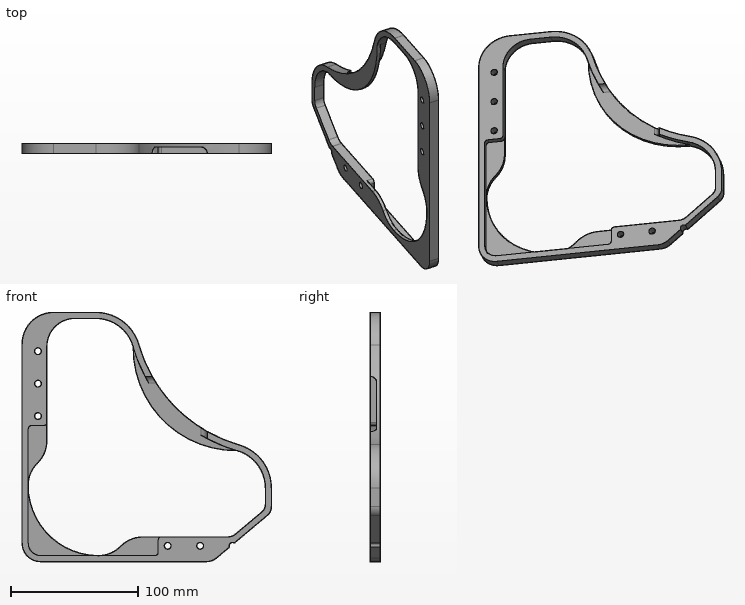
import cadquery as cq
import math

SIZE = 195.8
THICKNESS = 8.0
WEB = 3.0
RECESS = THICKNESS - WEB
WALL = 4.9
FLANGE = 19.5

TOP_LEFT_RADIUS = 24.9
BOTTOM_LEFT_RADIUS = 14.7
LOBE_RADIUS = 35.2
LOBE_START = 58.0
WAIST_RADIUS = 113.5
BEVEL_ANGLE = math.radians(40)
BEVEL_FOOT = 149.2
BEVEL_BOTTOM_RADIUS = 12.7
BEVEL_SIDE_RADIUS = 8.8

INNER_TOP_LEFT_RADIUS = 22.0
INNER_BOTTOM_LEFT_RADIUS = 39.2
INNER_BEVEL_BOTTOM_RADIUS = 9.8
INNER_BEVEL_SIDE_RADIUS = 7.5
WEB_ARC_CENTER = 168.0
WEB_ARC_RADIUS = 80.8
CORNER_ARC_CENTER = 59.9
S_END = 95.0

POCKET_END = 106.9
POCKET_CORNER_RADIUS = 9.8
POCKET_END_RADIUS = 2.5
GAP_START = 88.0
GAP_END = 145.5
HOLE_RADIUS = 2.5
HOLE_EDGE = 12.5
HOLE_FIRST = 114.3
HOLE_PITCH = 25.5
HOLE_COUNT = 3

CUT_MARGIN = 2.0

LOBE_LEVEL = SIZE - LOBE_RADIUS
_half_gap = (LOBE_LEVEL - LOBE_START) / math.sqrt(2)
_reach = math.sqrt((LOBE_RADIUS + WAIST_RADIUS) ** 2 - _half_gap ** 2)
WAIST_CENTER = (LOBE_START + LOBE_LEVEL) / 2 + _reach / math.sqrt(2)


def mirrored(point):
    """Reflect a point in the X = Z diagonal."""
    return (point[1], point[0])


def polar(center, radius, angle):
    return (center[0] + radius * math.cos(angle), center[1] + radius * math.sin(angle))


def diagonal_point(center, radius):
    """Point of a circle centred on the diagonal that lies nearest the origin."""
    offset = center - radius / math.sqrt(2)
    return (offset, offset)


def circle_meeting(center_a, radius_a, center_b, radius_b):
    """Intersection of two circles on the left of the direction from B to A."""
    dx = center_a[0] - center_b[0]
    dz = center_a[1] - center_b[1]
    distance = math.hypot(dx, dz)
    along = (distance ** 2 + radius_b ** 2 - radius_a ** 2) / (2 * distance)
    across = math.sqrt(max(radius_b ** 2 - along ** 2, 0))
    return (
        center_b[0] + (along * dx - across * dz) / distance,
        center_b[1] + (along * dz + across * dx) / distance,
    )


def prism(outline, front, back):
    """Extrude a closed X-Z outline from Y = front to Y = back."""
    return outline.close().extrude(front - back).translate((0, front, 0))


def outline_with_lobes(inset, left, bottom, arc_center, arc_radius):
    """Outline of the frame, sharp at its corners, moved inward by inset."""
    lobe_center = (LOBE_START, LOBE_LEVEL)
    lobe_radius = LOBE_RADIUS - inset
    far = SIZE - inset
    joint = circle_meeting((arc_center, arc_center), arc_radius, lobe_center, lobe_radius)
    joint_angle = math.atan2(joint[1] - LOBE_LEVEL, joint[0] - LOBE_START)
    lobe_middle = polar(lobe_center, lobe_radius, (joint_angle + math.pi / 2) / 2)
    foot = BEVEL_FOOT - inset / math.sin(BEVEL_ANGLE)
    bevel_x = foot + bottom / math.tan(BEVEL_ANGLE)
    bevel_z = (far - foot) * math.tan(BEVEL_ANGLE)
    return (
        cq.Workplane("XZ")
        .moveTo(left, bottom)
        .lineTo(left, far)
        .lineTo(LOBE_START, far)
        .threePointArc(lobe_middle, joint)
        .threePointArc(diagonal_point(arc_center, arc_radius), mirrored(joint))
        .threePointArc(mirrored(lobe_middle), (far, LOBE_START))
        .lineTo(far, bevel_z)
        .lineTo(bevel_x, bottom)
    ), (bevel_x, bottom), (far, bevel_z)


def round_edge(body, point, radius):
    """Fillet the Y-parallel edge closest to an X-Z point."""
    nearest = cq.selectors.NearestToPointSelector((point[0], body.val().Center().y, point[1]))
    return body.edges("|Y").edges(nearest).fillet(radius)


def make_blank():
    outline, foot, side = outline_with_lobes(0, 0, 0, WAIST_CENTER, WAIST_RADIUS)
    blank = prism(outline, 0, THICKNESS)
    blank = round_edge(blank, (0, SIZE), TOP_LEFT_RADIUS)
    blank = round_edge(blank, (0, 0), BOTTOM_LEFT_RADIUS)
    blank = round_edge(blank, foot, BEVEL_BOTTOM_RADIUS)
    return round_edge(blank, side, BEVEL_SIDE_RADIUS)


def make_opening(arc_center, arc_radius, back):
    """Cutter for the area inside the rim and the two flanges."""
    outline, foot, side = outline_with_lobes(WALL, FLANGE, FLANGE, arc_center, arc_radius)
    opening = prism(outline, -CUT_MARGIN, back)
    opening = round_edge(opening, (FLANGE, SIZE - WALL), INNER_TOP_LEFT_RADIUS)
    opening = round_edge(opening, (FLANGE, FLANGE), INNER_BOTTOM_LEFT_RADIUS)
    opening = round_edge(opening, foot, INNER_BEVEL_BOTTOM_RADIUS)
    return round_edge(opening, side, INNER_BEVEL_SIDE_RADIUS)


def make_corner_opening():
    """Through cutter at the lower left: a round bay joined to the flanges by S curves."""
    run = S_END - CORNER_ARC_CENTER
    rise = FLANGE - WALL
    half_angle = math.atan2(rise, run)
    radius = run / math.sin(2 * half_angle) / 2
    inflection = (CORNER_ARC_CENTER + run / 2, WALL + rise / 2)
    concave_middle = polar((CORNER_ARC_CENTER, WALL + radius), radius, half_angle - math.pi / 2)
    convex_middle = polar((S_END, FLANGE - radius), radius, half_angle + math.pi / 2)
    bay_middle = diagonal_point(CORNER_ARC_CENTER, CORNER_ARC_CENTER - WALL)
    outline = (
        cq.Workplane("XZ")
        .moveTo(S_END, FLANGE)
        .threePointArc(convex_middle, inflection)
        .threePointArc(concave_middle, (CORNER_ARC_CENTER, WALL))
        .threePointArc(bay_middle, (WALL, CORNER_ARC_CENTER))
        .threePointArc(mirrored(concave_middle), mirrored(inflection))
        .threePointArc(mirrored(convex_middle), (FLANGE, S_END))
        .lineTo(S_END, S_END)
    )
    return prism(outline, -CUT_MARGIN, THICKNESS + CUT_MARGIN)


def make_pocket():
    """L-shaped front pocket along both flanges, flared where it meets the opening."""
    lip = POCKET_END + POCKET_END_RADIUS
    outline = (
        cq.Workplane("XZ")
        .moveTo(WALL, WALL)
        .lineTo(POCKET_END, WALL)
        .lineTo(POCKET_END, FLANGE - POCKET_END_RADIUS)
        .radiusArc((lip, FLANGE), POCKET_END_RADIUS)
        .lineTo(FLANGE, lip)
        .radiusArc((FLANGE - POCKET_END_RADIUS, POCKET_END), POCKET_END_RADIUS)
        .lineTo(WALL, POCKET_END)
    )
    pocket = prism(outline, -CUT_MARGIN, RECESS)
    pocket = round_edge(pocket, (WALL, WALL), POCKET_CORNER_RADIUS)
    pocket = round_edge(pocket, (POCKET_END, WALL), POCKET_END_RADIUS)
    return round_edge(pocket, (WALL, POCKET_END), POCKET_END_RADIUS)


def make_waist_gap():
    """Gap in the waist rim whose two ends curve down to the web."""
    span = GAP_END - GAP_START
    gap = cq.Workplane("XY").box(span, RECESS + CUT_MARGIN, span, centered=False)
    gap = gap.translate((GAP_START, -CUT_MARGIN, GAP_START))
    return gap.faces(">Y").edges(">X or >Z").fillet(RECESS)


def make_holes():
    """Hole rows along both flanges; the last one on the bottom breaks the bevel."""
    row = [(HOLE_EDGE, HOLE_FIRST + i * HOLE_PITCH) for i in range(HOLE_COUNT)]
    points = row + [mirrored(point) for point in row]
    holes = cq.Workplane("XZ").pushPoints(points).circle(HOLE_RADIUS)
    return holes.extrude(-THICKNESS)


result = (
    make_blank()
    .cut(make_opening(WAIST_CENTER, WAIST_RADIUS + WALL, RECESS))
    .cut(make_opening(WEB_ARC_CENTER, WEB_ARC_RADIUS, THICKNESS + CUT_MARGIN))
    .cut(make_corner_opening())
    .cut(make_pocket())
    .cut(make_waist_gap())
    .cut(make_holes())
)